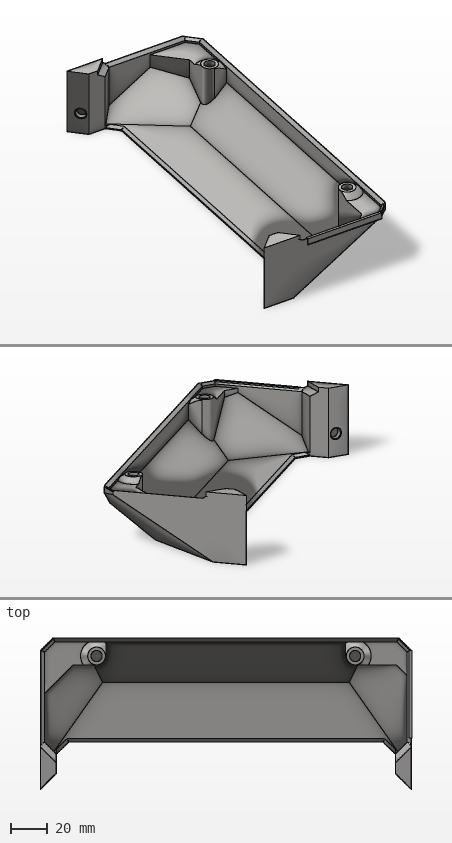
import cadquery as cq
import math

half_width = 101.5
depth = 83.0
rim_height = 36.2
lug_height = 40.1
back_height = 22.8
back_corner = 7.0
corner_bevel = 0.8
wall = 2.2
floor_thickness = 1.93
rim_land = 0.2
rim_bevel_slope = 40.0
front_edge = 25.9
floor_front_half = 86.1
front_bevel_width = 2.0
front_bevel_slope = 30.0

inner_slope_foot = 58.6
facet_floor_x = 67.5
facet_rise_x = 0.84
facet_rise_y = 0.59
outer_facet_front = 19.0

lug_width = 8.8
lug_back_y = 23.2
lug_ledge = 3.5
lug_hole_diameter = 6.1
lug_hole_height = 13.2
lug_hole_depth = 3.5
lug_hole_chamfer = 0.5
lug_hole_inset = 5.5

boss_x = 70.9
boss_y = 73.0
boss_radius = 4.9
boss_hole_diameter = 6.1
boss_hole_depth = 16.3
boss_foot_radius = 8.8
shelf_height = 33.2
shelf_overhang = 0.5
left_shelf_bend = 83.7
right_shelf_bend = 93.5

strip_thickness = 0.5
strip_height = 4.0

rim_bevel_width = wall - rim_land
rim_bevel_drop = rim_bevel_width * math.tan(math.radians(rim_bevel_slope))
front_bevel_drop = front_bevel_width * math.tan(math.radians(front_bevel_slope))
inner_half = half_width - wall
inner_back = depth - wall
lug_inner = half_width - lug_width
lug_shelf_y = lug_back_y + lug_ledge * math.sqrt(2)
throat_y = lug_shelf_y - lug_width
lug_foot_width = lug_ledge - rim_bevel_width
lug_foot_rise = lug_foot_width * math.tan(math.radians(rim_bevel_slope))
big = 407.2


def prism(points, bottom, top):
    return cq.Workplane("XY").workplane(offset=bottom).polyline(points).close().extrude(top - bottom)


def mirrored(points):
    """Close a left half outline with its mirror image across X = 0."""
    return points + [(-x, y) for x, y in reversed(points)]


def side_prism(points):
    """Extrude a (Y, Z) outline along the whole length of the part."""
    return cq.Workplane("YZ").polyline(points).close().extrude(big / 2, both=True)


def below_facet(side, x, y, z):
    """Half space below the end facet through (side * x, y, z); side is -1 left, 1 right."""
    normal = (side * facet_rise_x, facet_rise_y, -1)
    level_line = (facet_rise_y, -side * facet_rise_x, 0)
    plane = cq.Plane(origin=(side * x, y, z), xDir=level_line, normal=normal)
    return cq.Workplane(plane).rect(big, big).extrude(big)


def make_hull():
    plan = mirrored([
        (-floor_front_half, front_edge),
        (-lug_inner, throat_y),
        (-lug_inner, lug_width),
        (-half_width, 0),
        (-half_width, depth - back_corner),
        (-half_width + back_corner, depth),
    ])
    profile = [
        (0, 0),
        (depth - back_height, 0),
        (depth, back_height),
        (depth, rim_height),
        (0, rim_height),
    ]
    hull = prism(plan, 0, rim_height).intersect(side_prism(profile))
    for side in (-1, 1):
        hull = hull.cut(below_facet(side, half_width, outer_facet_front, 0))
    return hull


def cavity_plan():
    """Inner outline of the walls, carried a little past the lugs into the open front."""
    corner = back_corner + wall * (math.sqrt(2) - 2)
    return mirrored([
        (-lug_inner + wall, throat_y - wall),
        (-inner_half, lug_shelf_y - wall),
        (-inner_half, inner_back - corner),
        (-inner_half + corner, inner_back),
    ])


def make_cavity():
    slope_top = floor_thickness + inner_back - inner_slope_foot
    profile = [
        (0, floor_thickness),
        (inner_slope_foot, floor_thickness),
        (inner_back, slope_top),
        (inner_back, rim_height),
        (0, rim_height),
    ]
    cavity = prism(cavity_plan(), 0, rim_height).intersect(side_prism(profile))
    for side in (-1, 1):
        cavity = cavity.cut(below_facet(side, facet_floor_x, inner_slope_foot, floor_thickness))
    return cavity.union(prism(cavity_plan(), shelf_height, rim_height))


def make_rim_bevel():
    start = cq.Workplane("XY").workplane(offset=rim_height - rim_bevel_drop)
    return start.polyline(cavity_plan()).close().extrude(rim_bevel_drop, taper=rim_bevel_slope - 90)


def make_front_bevel():
    void = mirrored([
        (-lug_inner, -front_edge),
        (-lug_inner, throat_y),
        (-floor_front_half, front_edge),
    ])
    start = cq.Workplane("XY").workplane(offset=floor_thickness - front_bevel_drop)
    bevel = start.polyline(void).close().extrude(front_bevel_drop, taper=front_bevel_slope - 90)
    return bevel.intersect(cq.Workplane("XY").box(2 * lug_inner, big, big))


def make_corner_bevel(side):
    """Wedge along the outer top edge of one back corner."""
    middle = (side * (half_width - back_corner / 2), depth - back_corner / 2, rim_height)
    plane = cq.Plane(origin=middle, xDir=(side, 1, 0), normal=(1, -side, 0))
    wedge = [(0, -corner_bevel), (0, 0), (-corner_bevel, 0)]
    return cq.Workplane(plane).polyline(wedge).close().extrude(back_corner, both=True)


def make_shelf(side, bend):
    """Corner shelf with its screw boss and the cone around the boss."""
    reach = half_width - bend
    edge_y = boss_y - boss_radius
    arc_offset = boss_radius * math.sqrt(0.5)
    inner_x = boss_x - boss_radius
    outline = (
        cq.Workplane("XY")
        .moveTo(side * (inner_x - shelf_overhang), depth)
        .lineTo(side * (inner_x - shelf_overhang), boss_y)
        .lineTo(side * inner_x, boss_y)
        .threePointArc(
            (side * (boss_x - arc_offset), boss_y - arc_offset),
            (side * boss_x, edge_y),
        )
        .lineTo(side * bend, edge_y)
        .lineTo(side * half_width, edge_y - reach)
        .lineTo(side * half_width, depth)
        .close()
    )
    footprint = outline.extrude(rim_height)
    cone = cq.Workplane(cq.Solid.makeCone(
        boss_foot_radius, boss_radius, rim_height - shelf_height,
        cq.Vector(side * boss_x, boss_y, shelf_height),
    ))
    boss = cq.Workplane("XY").center(side * boss_x, boss_y).circle(boss_radius).extrude(rim_height)
    shelf = footprint.intersect(cq.Workplane("XY").box(big, big, 2 * shelf_height))
    return shelf.union(cone.intersect(footprint)).union(boss)


def boss_hole(side):
    top = cq.Workplane("XY").workplane(offset=rim_height).center(side * boss_x, boss_y)
    return top.circle(boss_hole_diameter / 2).extrude(-boss_hole_depth)


def make_lug_top(side):
    """Part of a lug raised above the rim, with the rim bevel continued along its back foot."""
    outline = [
        (side * half_width, 0),
        (side * lug_inner, lug_width),
        (side * lug_inner, throat_y),
        (side * half_width, lug_shelf_y),
    ]
    plane = cq.Plane(
        origin=(side * half_width, lug_back_y, rim_height), xDir=(-side, 1, 0), normal=(1, side, 0)
    )
    raised = lug_height - rim_height
    removed = [
        (0, raised),
        (0, lug_foot_rise),
        (lug_foot_width, 0),
        (depth, 0),
        (depth, raised),
    ]
    clearance = cq.Workplane(plane).polyline(removed).close().extrude(depth, both=True)
    return prism(outline, rim_height, lug_height).cut(clearance)


def lug_hole(side):
    """Blind hole square to the 45 degree front face of a lug."""
    plane = cq.Plane(
        origin=(side * (half_width - lug_hole_inset), lug_hole_inset, lug_hole_height),
        xDir=(0, 0, 1),
        normal=(side, 1, 0),
    )
    hole = cq.Workplane(plane).circle(lug_hole_diameter / 2).extrude(lug_hole_depth)
    mouth_radius = lug_hole_diameter / 2 + lug_hole_chamfer
    mouth = cq.Workplane(plane).circle(mouth_radius).extrude(lug_hole_chamfer, taper=45)
    return hole.union(mouth)


def make_strip():
    start_y = lug_shelf_y
    end_y = depth - back_corner
    return cq.Workplane("XY").box(
        wall / 2 + strip_thickness, end_y - start_y, strip_height, centered=False
    ).translate((half_width - wall / 2, start_y, rim_height - strip_height))


cavity = make_cavity()
result = make_hull().cut(cavity).cut(make_rim_bevel()).cut(make_front_bevel())

for side, bend in ((-1, left_shelf_bend), (1, right_shelf_bend)):
    result = result.union(make_shelf(side, bend).intersect(cavity))
    result = result.cut(boss_hole(side)).cut(make_corner_bevel(side))
    result = result.union(make_lug_top(side)).cut(lug_hole(side))
result = result.union(make_strip())